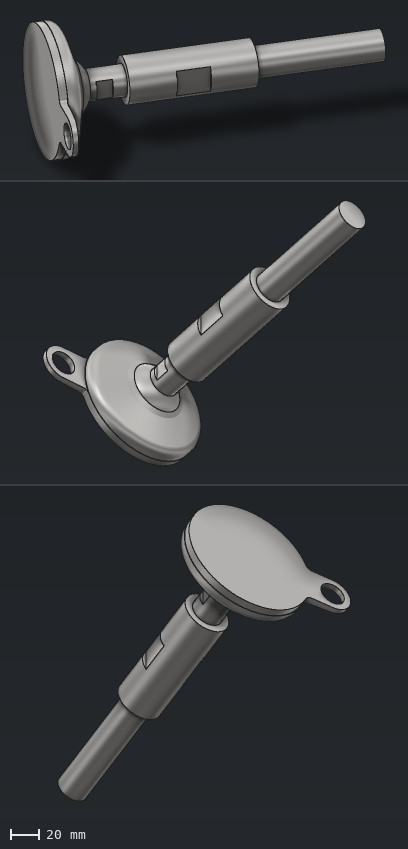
import cadquery as cq
import math


foot_radius = 50.0
base_radius = 49.7
base_height = 6.2
rim_height = 9.3
shoulder_radius = 7.5
cone_angle = math.radians(18.4)
bevel_radius = 24.5

lug_center_x = 68.0
lug_radius = 15.0
lug_hole_diameter = 19.0
lug_fillet = 5.0
lug_root_x = 40.0
lug_root_height = base_height
lug_tip_height = 4.1

total_length = 250.0
spindle_radius = 12.0
spindle_flat_start = 37.5
spindle_flat_length = 12.0
spindle_across_flats = 19.0

sleeve_radius = 18.0
sleeve_start = 60.0
sleeve_length = 95.0
sleeve_flat_length = 25.0
sleeve_across_flats = 30.0
sleeve_flat_start = sleeve_start + (sleeve_length - sleeve_flat_length) / 2

ball_radius = 25.0
ball_neck_y = 32.8
ball_center_y = ball_neck_y - math.sqrt(ball_radius**2 - spindle_radius**2)
mouth_y = 25.2
mouth_radius = math.sqrt(ball_radius**2 - (mouth_y - ball_center_y) ** 2)


def rod(radius, start, end):
    """Round bar on the Y axis."""
    return cq.Workplane("XZ", origin=(0, start, 0)).circle(radius).extrude(start - end)


def make_half_ball():
    """Half ball with its round side towards +Y, flat side at the ball centre."""
    return (
        cq.Workplane("XY")
        .moveTo(0, ball_center_y)
        .lineTo(ball_radius, ball_center_y)
        .radiusArc((0, ball_center_y + ball_radius), -ball_radius)
        .close()
        .revolve(360, (0, 0), (0, 1))
    )


def cut_flats(body, start, length, across_flats):
    """Cut two wrench flats facing -X and +X."""
    depth = sleeve_radius
    for side in (-1, 1):
        cutter = cq.Workplane("XY").box(depth, length, 2 * sleeve_radius)
        offset = side * (across_flats + depth) / 2
        body = body.cut(cutter.translate((offset, start + length / 2, 0)))
    return body


def make_plate():
    """Round foot plate with its stepped rim, rounded shoulder and conical top."""
    arc_center_x = foot_radius - shoulder_radius
    half_angle = (math.pi / 2 - cone_angle) / 2
    arc_mid = (
        arc_center_x + shoulder_radius * math.cos(half_angle),
        rim_height + shoulder_radius * math.sin(half_angle),
    )
    arc_end = (
        arc_center_x + shoulder_radius * math.sin(cone_angle),
        rim_height + shoulder_radius * math.cos(cone_angle),
    )
    bevel_y = arc_end[1] + (arc_end[0] - bevel_radius) * math.tan(cone_angle)
    return (
        cq.Workplane("XY")
        .moveTo(0, 0)
        .lineTo(base_radius, 0)
        .lineTo(base_radius, base_height)
        .lineTo(foot_radius, base_height)
        .lineTo(foot_radius, rim_height)
        .threePointArc(arc_mid, arc_end)
        .lineTo(bevel_radius, bevel_y)
        .lineTo(mouth_radius, mouth_y)
        .lineTo(0, mouth_y)
        .close()
        .revolve(360, (0, 0), (0, 1))
    )


def make_lug():
    """Lug with a round end, filleted into the plate, its top sloping down to the tip."""
    fillet_z = lug_radius + lug_fillet
    fillet_x = math.sqrt((base_radius + lug_fillet) ** 2 - fillet_z**2)
    tangent_ratio = base_radius / (base_radius + lug_fillet)
    tangent_x = fillet_x * tangent_ratio
    tangent_z = fillet_z * tangent_ratio
    lug_tip_x = lug_center_x + lug_radius
    outline = (
        cq.Workplane("XZ")
        .moveTo(lug_root_x, -tangent_z)
        .lineTo(tangent_x, -tangent_z)
        .radiusArc((fillet_x, -lug_radius), lug_fillet)
        .lineTo(lug_center_x, -lug_radius)
        .threePointArc((lug_tip_x, 0), (lug_center_x, lug_radius))
        .lineTo(fillet_x, lug_radius)
        .radiusArc((tangent_x, tangent_z), lug_fillet)
        .lineTo(lug_root_x, tangent_z)
        .close()
        .extrude(-lug_root_height)
    )
    side_profile = (
        cq.Workplane("XY")
        .moveTo(lug_root_x, 0)
        .lineTo(lug_tip_x, 0)
        .lineTo(lug_tip_x, lug_tip_height)
        .lineTo(lug_root_x, lug_root_height)
        .close()
        .extrude(fillet_z, both=True)
    )
    hole = rod(lug_hole_diameter / 2, 0, lug_root_height).translate((lug_center_x, 0, 0))
    return outline.intersect(side_profile).cut(hole)


def make_foot():
    """Foot plate with its lug and the socket for the ball head."""
    return make_plate().union(make_lug()).cut(make_half_ball())


def make_spindle():
    """Spindle with its ball head, thick sleeve and two pairs of wrench flats."""
    shaft = rod(spindle_radius, ball_center_y, total_length)
    shaft = cut_flats(shaft, spindle_flat_start, spindle_flat_length, spindle_across_flats)
    sleeve = rod(sleeve_radius, sleeve_start, sleeve_start + sleeve_length)
    sleeve = cut_flats(sleeve, sleeve_flat_start, sleeve_flat_length, sleeve_across_flats)
    return shaft.union(sleeve).union(make_half_ball())


foot = make_foot()
spindle = make_spindle()

result = cq.Compound.makeCompound([foot.solids().val(), spindle.solids().val()])